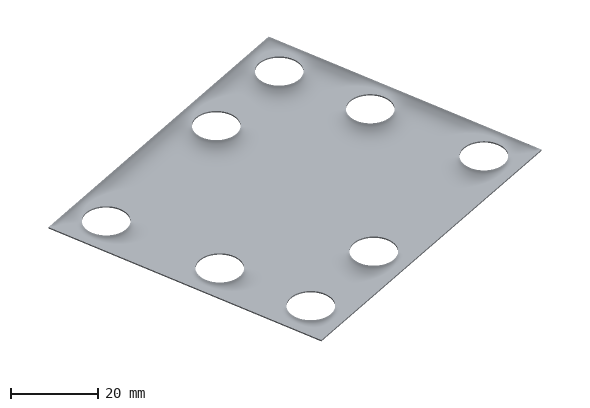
import cadquery as cq

width = 76.2
length = 88.9
thickness = 0.38

hole_diameter = 11.2
edge_distance = 9.5
hole_pitch = 25.4

corner_x = width / 2 - edge_distance
corner_y = length / 2 - edge_distance

half_pattern = [
    (corner_x, -corner_y),
    (corner_x - hole_pitch, -corner_y),
    (corner_x, -corner_y + hole_pitch),
    (corner_x, corner_y),
]
hole_centres = half_pattern + [(-x, -y) for x, y in half_pattern]

plate = cq.Workplane("XY").box(width, length, thickness)
result = plate.faces(">Z").workplane().pushPoints(hole_centres).hole(hole_diameter)